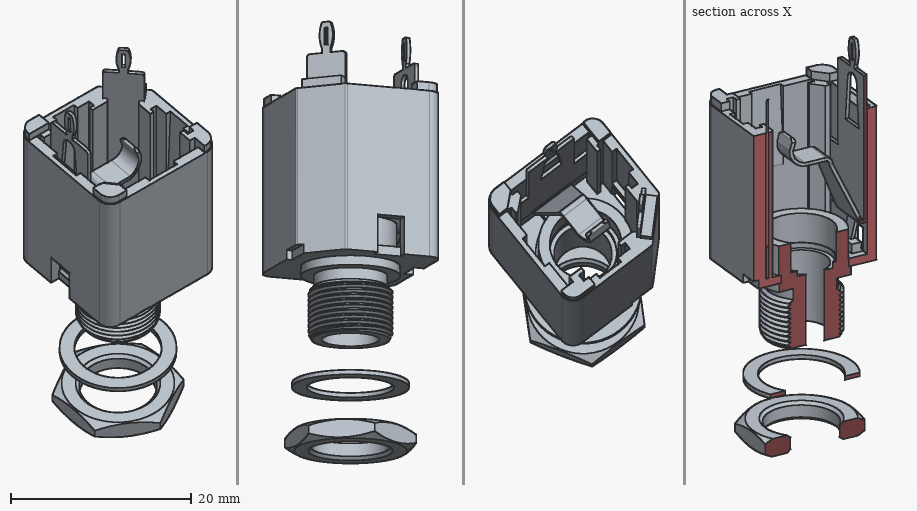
import cadquery as cq
import math

TOTAL_HEIGHT = 47.5
BOTTOM_Z = 21.0
HOUSING_HEIGHT = 18.9
RIM_Z = BOTTOM_Z + HOUSING_HEIGHT
PAD_HEIGHT = 1.0
FLOOR_THICKNESS = 1.05
FLOOR_Z = BOTTOM_Z + FLOOR_THICKNESS

SIDE = 15.8
HALF = SIDE / 2
CORNER_RADIUS = 1.6
CHAMFER_LEG = 4.28
CHAMFER_EDGE_RADIUS = 0.4
PAD_INSET = 0.15

WALL = 1.25
SLOT_BACK = HALF - WALL
CAVITY_LEFT = -5.35
CAVITY_RIGHT = 6.1
CAVITY_REAR = 5.3
CAVITY_FRONT = -6.2
LIP_OUTER = 5.85
LEFT_SLOT_Y = (-4.95, 1.35)
LEFT_OPENING_Y = (-4.3, 0.75)
REAR_SLOT_X = (-1.4, 5.1)
REAR_OPENING_X = (-0.8, 4.35)
RIGHT_SLOT_Y = (-5.15, 6.05)
FRONT_SLOT_X = (-6.05, 5.1)
COLUMN_INNER_X = REAR_OPENING_X[1]
COLUMN_TOP_Y = LEFT_OPENING_Y[0]
RIGHT_COLUMN_BEVEL = ((COLUMN_INNER_X, -5.6), (5.8, COLUMN_TOP_Y))
CHAMFER_COLUMN_X = -2.85
CHAMFER_COLUMN_Y = 2.85

LEFT_PAD_X = -6.1
RIGHT_PAD_X = REAR_SLOT_X[1]
RIGHT_PAD_BEVEL_Y = -6.55
LEAD_IN_DEPTH = 0.6
WIDE_LEAD_IN = 4.05
NARROW_LEAD_IN = 3.0
FRONT_LEAD_IN_X = -0.48
FRONT_LEAD_IN_HEIGHT = 0.6
RIGHT_LEAD_IN_Y = 0.48
RIGHT_LEAD_IN_HEIGHT = 9.5
REAR_LEAD_IN_X = 1.8
LEFT_RELIEF_Y = -1.8
LEFT_RELIEF_BOTTOM = 26.6

FRONT_WINDOW_X = (-2.1, 1.1)
FRONT_WINDOW_TOP = 24.9
LEFT_WINDOW_Y = (-3.32, -0.2)
LEFT_WINDOW_TOP = 25.25
WINDOW_BACK = 5.7
LATCH_FACE = 6.8
LATCH_BACK = 5.22
LATCH_STEP = 0.35
LATCH_SLOPE_TOP = 22.4
LATCH_TOP = 23.2
REAR_NOTCH_DEPTH = 0.65
REAR_NOTCH_LENGTH = 2.85

FLANGE_DIAMETER = 11.0
FLANGE_BOTTOM = 19.95
SLEEVE_DIAMETER = 10.5
SLEEVE_BORE = 8.0
SLEEVE_CENTER = (-0.25, 0.2)
SLEEVE_TOP = 25.65
NECK_DIAMETER = 8.2
THREAD_DIAMETER = 9.4
THREAD_ROOT = 8.65
THREAD_TOP = 18.65
THREAD_BOTTOM = 12.7
THREAD_TURNS = 10.2
THREAD_PITCH = (THREAD_TOP - THREAD_BOTTOM) / THREAD_TURNS
THREAD_CREST_FLAT = 0.03
THREAD_OVERCUT = 0.1
THREAD_LEAD = 0.6
BORE = 6.4
UPPER_BORE = 7.5
UPPER_BORE_Z = 21.38

SHEET = 0.45
SHOULDER_Z = 44.0
SHOULDER_RADIUS = 0.4
PIN_WIDTH = 1.0
PIN_NECK_Z = SHOULDER_Z + 0.48
PIN_BULGE = 1.6
PIN_BULGE_Z = 45.85
PIN_EYE_WIDTH = 0.4
PIN_EYE_RADIUS = 0.17
PIN_EYE_Z = (44.9, 46.9)
PIN_TIP_RADIUS = 0.3
FRONT_CONTACT_X = -0.45
FRONT_CONTACT_WIDTH = 6.4
CONTACT_BOTTOM = 25.9
ARCH_BOTTOM = 37.05
ARCH_TOP = 43.25
ARCH_DIAMETER = 2.0
ARCH_FOOT_WIDTH = 2.95
ARM_WIDTH = 3.32
ARM_ROOT_WIDTH = 5.7
ARM_PLATEAU_Z = 34.6
ARM_NECK_Y = -2.55
ARM_FOLD_Y = -5.95
ARM_CREST_RISE = 0.75
ARM_CREST_MIDDLE = (-2.38, 34.15)
ARM_PLATEAU_Y = -1.95
ARM_VALLEY_Y = 0.75
ARM_VALLEY_MIDDLE = (1.9, 34.95)
ARM_BEND_Y = 2.38
ARM_BEND_Z = 36.3
ARM_END_Y = 2.05
ARM_END_Z = 37.45
ARM_TIP_WIDTH = 2.7
ARM_TIP_RADIUS = 0.95
WING_TOP = 33.25
TAIL_LEAN = 0.6
TAIL_BOTTOM = 23.35
TAIL_WIDTH = 1.6
SIDE_CONTACT_DISTANCE = 6.75
SIDE_CONTACT_WIDTH = 4.65
SIDE_OPENING_WIDTH = 3.5
SIDE_PAD_WIDTH = 4.75

WASHER_OUTER = 13.0
WASHER_INNER = 9.7
WASHER_BOTTOM = 7.2
WASHER_THICKNESS = 0.5
NUT_FLATS = 12.82
NUT_HEIGHT = 2.25
NUT_CHAMFER_CIRCLE = 12.55
NUT_CHAMFER_ANGLE = 30.0


def box(x_range, y_range, z_range):
    sizes = [end - start for start, end in (x_range, y_range, z_range)]
    corner = (x_range[0], y_range[0], z_range[0])
    return cq.Workplane("XY").box(*sizes, centered=False).translate(corner)


def prism(points, bottom, top):
    return cq.Workplane("XY").workplane(offset=bottom).polyline(points).close().extrude(top - bottom)


def cylinder(diameter, bottom, top, center=(0, 0)):
    return cq.Workplane("XY").workplane(offset=bottom).center(*center).circle(diameter / 2).extrude(top - bottom)


def seat():
    """The part of the bushing inside the housing: a plug through the floor and the sleeve above it."""
    plug = cylinder(SLEEVE_DIAMETER, BOTTOM_Z, FLOOR_Z)
    return plug.union(cylinder(SLEEVE_DIAMETER, FLOOR_Z, SLEEVE_TOP, SLEEVE_CENTER))


def revolved(outline):
    """Solid of revolution about Z from (radius, height) points."""
    return cq.Workplane("XZ").polyline(outline).close().revolve(360, (0, 0, 0), (0, 1, 0))


def across_chamfer(shape):
    """Turn a shape built on the -Y side so that it faces the chamfered (-X, +Y) corner."""
    return shape.rotate((0, 0, 0), (0, 0, 1), -135)


def outer_block(inset, bottom, top):
    """Square block with one chamfered corner, its sides moved in by `inset`."""
    half = HALF - inset
    leg = CHAMFER_LEG - inset * (2 - math.sqrt(2))
    outline = [(-half, -half), (half, -half), (half, half), (leg - half, half), (-half, half - leg)]
    block = prism(outline, bottom, top)
    corner_radii = [CORNER_RADIUS - inset] * 3 + [CHAMFER_EDGE_RADIUS] * 2
    for corner, radius in zip(outline, corner_radii):
        middle = (*corner, (bottom + top) / 2)
        block = block.edges(cq.selectors.NearestToPointSelector(middle)).fillet(radius)
    return block


def cavity():
    """Everything removed from the housing above its floor: the core and the contact slots."""
    z_range = (FLOOR_Z, RIM_Z + PAD_HEIGHT)
    core = prism(
        [
            (CAVITY_LEFT, CAVITY_FRONT),
            (COLUMN_INNER_X, CAVITY_FRONT),
            *RIGHT_COLUMN_BEVEL,
            (CAVITY_RIGHT, COLUMN_TOP_Y),
            (CAVITY_RIGHT, CAVITY_REAR),
            (CHAMFER_COLUMN_X, CAVITY_REAR),
            (CAVITY_LEFT, CHAMFER_COLUMN_Y),
        ],
        *z_range,
    )
    cuts = [
        box((-SLOT_BACK, -LIP_OUTER), LEFT_SLOT_Y, z_range),
        box((-LIP_OUTER, CAVITY_LEFT), LEFT_OPENING_Y, z_range),
        box(REAR_SLOT_X, (LIP_OUTER, SLOT_BACK), z_range),
        box(REAR_OPENING_X, (CAVITY_REAR, LIP_OUTER), z_range),
        box((CAVITY_RIGHT, SLOT_BACK), RIGHT_SLOT_Y, z_range),
        box(FRONT_SLOT_X, (-SLOT_BACK, CAVITY_FRONT), z_range),
    ]
    half_slot = SIDE_CONTACT_WIDTH / 2
    half_opening = SIDE_OPENING_WIDTH / 2
    side_inner = SHEET - SIDE_CONTACT_DISTANCE
    cuts.append(across_chamfer(box((-half_slot, half_slot), (-SIDE_CONTACT_DISTANCE, side_inner), z_range)))
    cuts.append(across_chamfer(box((-half_opening, half_opening), (side_inner, 0), z_range)))
    for cut in cuts:
        core = core.union(cut)
    return core


def lead_in(center, width, slope_height, turn):
    """Wedge that widens a contact slot towards the rim; built on the -Y wall, then turned."""
    wedge = (
        cq.Workplane("YZ")
        .polyline(
            [
                (-SLOT_BACK, RIM_Z),
                (-SLOT_BACK - LEAD_IN_DEPTH, RIM_Z),
                (-SLOT_BACK, RIM_Z - slope_height),
            ]
        )
        .close()
        .extrude(width / 2, both=True)
        .translate((center, 0, 0))
    )
    return wedge.rotate((0, 0, 0), (0, 0, 1), turn)


def corner_pads():
    """Raised pads on the rim at the three rounded corners and along the chamfer."""
    top = RIM_Z + PAD_HEIGHT
    z_range = (RIM_Z, top)
    zones = box((-HALF, LEFT_PAD_X), (-HALF, LEFT_SLOT_Y[0]), z_range)
    rear_pad = prism(
        [
            (COLUMN_INNER_X, HALF),
            (COLUMN_INNER_X, CAVITY_REAR),
            (CAVITY_RIGHT, CAVITY_REAR),
            (CAVITY_RIGHT, RIGHT_SLOT_Y[1]),
            (HALF, RIGHT_SLOT_Y[1]),
            (HALF, HALF),
        ],
        *z_range,
    )
    right_pad = prism(
        [
            (RIGHT_PAD_X, -HALF),
            (HALF, -HALF),
            (HALF, RIGHT_SLOT_Y[0]),
            (SLOT_BACK, RIGHT_SLOT_Y[0]),
            (RIGHT_PAD_X, RIGHT_PAD_BEVEL_Y),
        ],
        *z_range,
    )
    half_width = SIDE_PAD_WIDTH / 2
    side_pad = across_chamfer(box((-half_width, half_width), (-SIDE, -SIDE_CONTACT_DISTANCE), z_range))
    for pad in (rear_pad, right_pad, side_pad):
        zones = zones.union(pad)
    return outer_block(PAD_INSET, RIM_Z, top).intersect(zones)


def latch():
    """Ledge with a sloped step, standing in the front window."""
    return (
        cq.Workplane("YZ")
        .workplane(offset=FRONT_WINDOW_X[0])
        .polyline(
            [
                (-LATCH_BACK, BOTTOM_Z),
                (-LATCH_FACE, BOTTOM_Z),
                (-LATCH_FACE, FLOOR_Z),
                (-LATCH_FACE + LATCH_STEP, LATCH_SLOPE_TOP),
                (-LATCH_FACE + LATCH_STEP, LATCH_TOP),
                (-LATCH_BACK, LATCH_TOP),
            ]
        )
        .close()
        .extrude(FRONT_WINDOW_X[1] - FRONT_WINDOW_X[0])
    )


def housing():
    body = outer_block(0, BOTTOM_Z, RIM_Z).union(corner_pads())
    body = body.cut(cavity())
    body = body.cut(lead_in(FRONT_LEAD_IN_X, WIDE_LEAD_IN, FRONT_LEAD_IN_HEIGHT, 0))
    body = body.cut(lead_in(RIGHT_LEAD_IN_Y, WIDE_LEAD_IN, RIGHT_LEAD_IN_HEIGHT, 90))
    body = body.cut(lead_in(-REAR_LEAD_IN_X, NARROW_LEAD_IN, RIM_Z - FLOOR_Z, 180))
    relief_y = (LEFT_RELIEF_Y - NARROW_LEAD_IN / 2, LEFT_RELIEF_Y + NARROW_LEAD_IN / 2)
    body = body.cut(box((-SLOT_BACK - LEAD_IN_DEPTH, -SLOT_BACK), relief_y, (LEFT_RELIEF_BOTTOM, RIM_Z)))
    body = body.cut(box(FRONT_WINDOW_X, (-HALF, -WINDOW_BACK), (BOTTOM_Z, FRONT_WINDOW_TOP)))
    body = body.union(latch())
    body = body.cut(box((-HALF, -WINDOW_BACK), LEFT_WINDOW_Y, (FLOOR_Z, LEFT_WINDOW_TOP)))
    body = body.cut(box((-HALF, -LATCH_FACE), LEFT_WINDOW_Y, (BOTTOM_Z, FLOOR_Z)))
    notch_x = (CHAMFER_LEG - HALF - REAR_NOTCH_DEPTH, CHAMFER_LEG - HALF + REAR_NOTCH_LENGTH)
    body = body.cut(box(notch_x, (HALF - REAR_NOTCH_DEPTH, HALF), (BOTTOM_Z, FLOOR_Z)))
    return body.cut(seat())


def thread_groove():
    """V-shaped helical groove from below the thread to the neck."""
    start = THREAD_BOTTOM - THREAD_PITCH
    run = THREAD_TOP - start
    depth = (THREAD_DIAMETER - THREAD_ROOT) / 2
    root = THREAD_ROOT / 2
    mouth = root + depth + THREAD_OVERCUT
    half_mouth = (THREAD_PITCH - THREAD_CREST_FLAT) / 2 * (depth + THREAD_OVERCUT) / depth
    path = cq.Wire.makeHelix(THREAD_PITCH, run, root).translate(cq.Vector(0, 0, start))
    groove = [(root, start), (mouth, start - half_mouth), (mouth, start + half_mouth)]
    tooth = cq.Workplane("XZ").polyline(groove).close()
    return tooth.sweep(cq.Workplane(path), isFrenet=True)


def threaded_end():
    crest = THREAD_DIAMETER / 2
    blank = cylinder(THREAD_DIAMETER, THREAD_BOTTOM, THREAD_TOP).cut(thread_groove())
    leads = revolved(
        [
            (0, THREAD_BOTTOM),
            (THREAD_ROOT / 2, THREAD_BOTTOM),
            (crest, THREAD_BOTTOM + THREAD_LEAD),
            (crest, THREAD_TOP - THREAD_LEAD),
            (NECK_DIAMETER / 2, THREAD_TOP),
            (0, THREAD_TOP),
        ]
    )
    return blank.intersect(leads)


def bushing():
    body = threaded_end()
    body = body.union(cylinder(NECK_DIAMETER, THREAD_TOP, FLANGE_BOTTOM))
    body = body.union(cylinder(FLANGE_DIAMETER, FLANGE_BOTTOM, BOTTOM_Z))
    body = body.union(seat())
    body = body.cut(cylinder(BORE, THREAD_BOTTOM, UPPER_BORE_Z))
    body = body.cut(cylinder(UPPER_BORE, UPPER_BORE_Z, FLOOR_Z))
    return body.cut(cylinder(SLEEVE_BORE, FLOOR_Z, SLEEVE_TOP, SLEEVE_CENTER))


def contact_blade(width):
    """Flat sheet with rounded shoulders and a bulged solder pin, centred on X = 0, outer face at Y = 0."""
    half = width / 2
    plate = box((-half, half), (0, SHEET), (CONTACT_BOTTOM, SHOULDER_Z)).edges("|Y and >Z").fillet(SHOULDER_RADIUS)
    pin_half = PIN_WIDTH / 2
    pin = (
        cq.Workplane("XZ")
        .moveTo(-pin_half, SHOULDER_Z - SHOULDER_RADIUS)
        .lineTo(-pin_half, PIN_NECK_Z)
        .threePointArc((-PIN_BULGE / 2, PIN_BULGE_Z), (-pin_half, TOTAL_HEIGHT))
        .lineTo(pin_half, TOTAL_HEIGHT)
        .threePointArc((PIN_BULGE / 2, PIN_BULGE_Z), (pin_half, PIN_NECK_Z))
        .lineTo(pin_half, SHOULDER_Z - SHOULDER_RADIUS)
        .close()
        .extrude(-SHEET)
        .edges("|Y and >Z")
        .fillet(PIN_TIP_RADIUS)
    )
    eye_half = PIN_EYE_WIDTH / 2
    eye = box((-eye_half, eye_half), (0, SHEET), PIN_EYE_Z).edges("|Y and >Z").fillet(PIN_EYE_RADIUS)
    return plate.union(pin).cut(eye)


def spring_arm():
    """Arm folded up from the foot of the front contact, tapering in plan, with an upturned round end."""
    middle = SHEET / 2
    foot_z = CONTACT_BOTTOM + middle
    plateau_z = ARM_PLATEAU_Z - middle
    centerline = (
        cq.Workplane("YZ")
        .moveTo(-SLOT_BACK + middle, foot_z)
        .lineTo(ARM_FOLD_Y, foot_z)
        .lineTo(ARM_NECK_Y, plateau_z - ARM_CREST_RISE)
        .threePointArc(ARM_CREST_MIDDLE, (ARM_PLATEAU_Y, plateau_z))
        .lineTo(ARM_VALLEY_Y, plateau_z)
        .threePointArc(ARM_VALLEY_MIDDLE, (ARM_BEND_Y, ARM_BEND_Z))
        .lineTo(ARM_END_Y, ARM_END_Z)
    )
    band = cq.Workplane("YZ").add(centerline.wire().val().offset2D(middle, "arc")).toPending()
    arm = band.extrude(ARM_ROOT_WIDTH / 2, both=True)
    root, neck, tip = ARM_ROOT_WIDTH / 2, ARM_WIDTH / 2, ARM_TIP_WIDTH / 2
    plan = prism(
        [
            (-root, -SLOT_BACK),
            (root, -SLOT_BACK),
            (neck, ARM_NECK_Y),
            (neck, ARM_VALLEY_Y),
            (tip, ARM_BEND_Y + SHEET),
            (-tip, ARM_BEND_Y + SHEET),
            (-neck, ARM_VALLEY_Y),
            (-neck, ARM_NECK_Y),
        ],
        CONTACT_BOTTOM,
        RIM_Z,
    )
    end = box((-neck, neck), (ARM_VALLEY_Y, SLOT_BACK), (CONTACT_BOTTOM, ARM_END_Z + middle))
    end = end.edges("|Y and >Z").fillet(ARM_TIP_RADIUS)
    reach = box((-root, root), (-SLOT_BACK, ARM_VALLEY_Y), (CONTACT_BOTTOM, RIM_Z)).union(end)
    return arm.intersect(plan).intersect(reach)


def contact_tail():
    """Narrow tongue under the front contact, leaning inwards above the latch."""
    outline = [
        (-SLOT_BACK, CONTACT_BOTTOM + SHEET),
        (-SLOT_BACK, CONTACT_BOTTOM),
        (-SLOT_BACK + TAIL_LEAN, TAIL_BOTTOM),
        (-SLOT_BACK + TAIL_LEAN + SHEET, TAIL_BOTTOM),
        (-SLOT_BACK + SHEET, CONTACT_BOTTOM),
        (-SLOT_BACK + SHEET, CONTACT_BOTTOM + SHEET),
    ]
    return cq.Workplane("YZ").polyline(outline).close().extrude(TAIL_WIDTH / 2, both=True)


def front_contact():
    blade = contact_blade(FRONT_CONTACT_WIDTH)
    radius = ARCH_DIAMETER / 2
    foot = ARCH_FOOT_WIDTH / 2
    arch = (
        cq.Workplane("XZ")
        .moveTo(-foot, ARCH_BOTTOM)
        .lineTo(-radius, ARCH_TOP - radius)
        .threePointArc((0, ARCH_TOP), (radius, ARCH_TOP - radius))
        .lineTo(foot, ARCH_BOTTOM)
        .close()
        .extrude(-SHEET)
    )
    blade = blade.cut(arch).translate((0, -SLOT_BACK, 0))
    contact = blade.union(spring_arm()).union(contact_tail()).translate((FRONT_CONTACT_X, 0, 0))
    wings = box(FRONT_SLOT_X, (-SLOT_BACK, SHEET - SLOT_BACK), (CONTACT_BOTTOM, WING_TOP))
    return contact.union(wings)


def side_contact():
    blade = contact_blade(SIDE_CONTACT_WIDTH)
    return across_chamfer(blade.translate((0, -SIDE_CONTACT_DISTANCE, 0)))


def washer():
    top = WASHER_BOTTOM + WASHER_THICKNESS
    return cylinder(WASHER_OUTER, WASHER_BOTTOM, top).cut(cylinder(WASHER_INNER, WASHER_BOTTOM, top))


def nut():
    corner_diameter = NUT_FLATS / math.cos(math.pi / 6)
    rim = corner_diameter / 2
    face = NUT_CHAMFER_CIRCLE / 2
    drop = (rim - face) * math.tan(math.radians(NUT_CHAMFER_ANGLE))
    hexagon = cq.Workplane("XY").polygon(6, corner_diameter).extrude(NUT_HEIGHT)
    turned = revolved(
        [(0, 0), (face, 0), (rim, drop), (rim, NUT_HEIGHT - drop), (face, NUT_HEIGHT), (0, NUT_HEIGHT)]
    )
    body = hexagon.intersect(turned).cut(cylinder(THREAD_ROOT, 0, NUT_HEIGHT))
    bore_edges = body.edges("%CIRCLE").edges(cq.selectors.RadiusNthSelector(0))
    return bore_edges.chamfer((THREAD_DIAMETER - THREAD_ROOT) / 2)


result = cq.Compound.makeCompound(
    [
        housing().val(),
        bushing().val(),
        front_contact().val(),
        side_contact().val(),
        washer().val(),
        nut().val(),
    ]
)